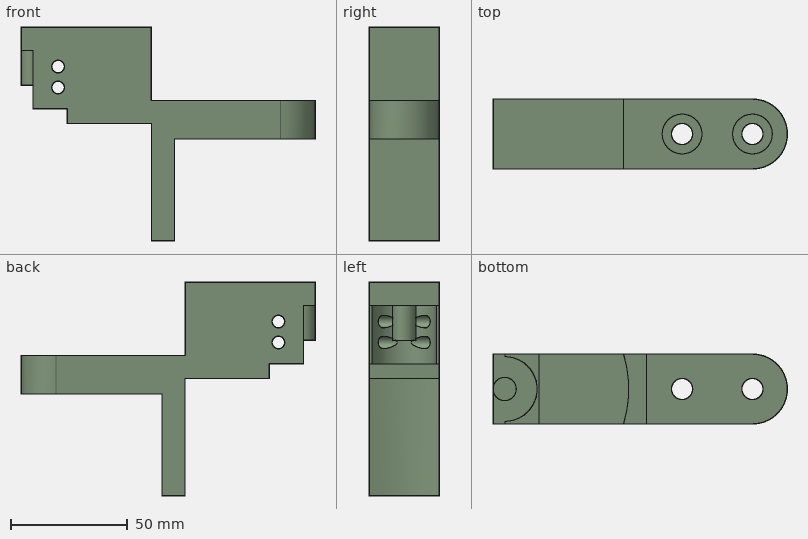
import cadquery as cq

length = 126.0
width = 30.0
height = 91.5
half_width = width / 2

head_length = 55.8
head_depth = 41.3
cap_thickness = 10.0
nose_setback = 5.0
step_x = 19.8
step_depth = 35.0

arm_top = 31.4
arm_bottom = 47.9
arm_end_x = length - half_width
bolt_spacing = 30.1
bolt_diameter = 9.0
counterbore_diameter = 17.0
counterbore_depth = 5.0

leg_thickness = 10.0
leg_hollow_depth = 2.3

pocket_diameter = 27.7
post_diameter = 10.0
post_bottom = 25.0
post_x = post_diameter / 2

pin_diameter = 5.3
pin_x = 15.9
pin_depths = (16.9, 25.8)


def vertical_cylinder(x, diameter, top_depth, bottom_depth):
    """Cylinder on the mid plane between two depths below the top face."""
    return (
        cq.Workplane("XY", origin=(x, 0, -bottom_depth))
        .circle(diameter / 2)
        .extrude(bottom_depth - top_depth)
    )


def make_head():
    profile = [
        (0, 0),
        (head_length, 0),
        (head_length, -head_depth),
        (step_x, -head_depth),
        (step_x, -step_depth),
        (nose_setback, -step_depth),
        (nose_setback, -cap_thickness),
        (0, -cap_thickness),
    ]
    head = cq.Workplane("XZ").polyline(profile).close().extrude(half_width, both=True)
    head = head.cut(vertical_cylinder(post_x, pocket_diameter, cap_thickness, step_depth))
    for depth in pin_depths:
        pin = (
            cq.Workplane("XZ")
            .center(pin_x, -depth)
            .circle(pin_diameter / 2)
            .extrude(width, both=True)
        )
        head = head.cut(pin)
    return head.union(vertical_cylinder(post_x, post_diameter, 0, post_bottom))


def make_arm():
    arm = (
        cq.Workplane("XY", origin=(0, 0, -arm_bottom))
        .moveTo(head_length, -half_width)
        .lineTo(arm_end_x, -half_width)
        .threePointArc((length, 0), (arm_end_x, half_width))
        .lineTo(head_length, half_width)
        .close()
        .extrude(arm_bottom - arm_top)
    )
    for x in (arm_end_x - bolt_spacing, arm_end_x):
        arm = arm.cut(vertical_cylinder(x, bolt_diameter, arm_top, arm_bottom))
        arm = arm.cut(
            vertical_cylinder(x, counterbore_diameter, arm_top, arm_top + counterbore_depth)
        )
    return arm


def make_leg():
    return (
        cq.Workplane("XY", origin=(head_length, 0, -height))
        .rect(leg_thickness, width)
        .extrude(height - arm_bottom)
        .translate((leg_thickness / 2, 0, 0))
    )


def make_leg_hollow():
    """Shallow arc segment removed from the leg and arm root, up to the underside of the head."""
    return (
        cq.Workplane("XY", origin=(head_length, 0, -height))
        .moveTo(0, -half_width)
        .threePointArc((leg_hollow_depth, 0), (0, half_width))
        .close()
        .extrude(height - head_depth)
    )


result = make_head().union(make_arm()).union(make_leg()).cut(make_leg_hollow())